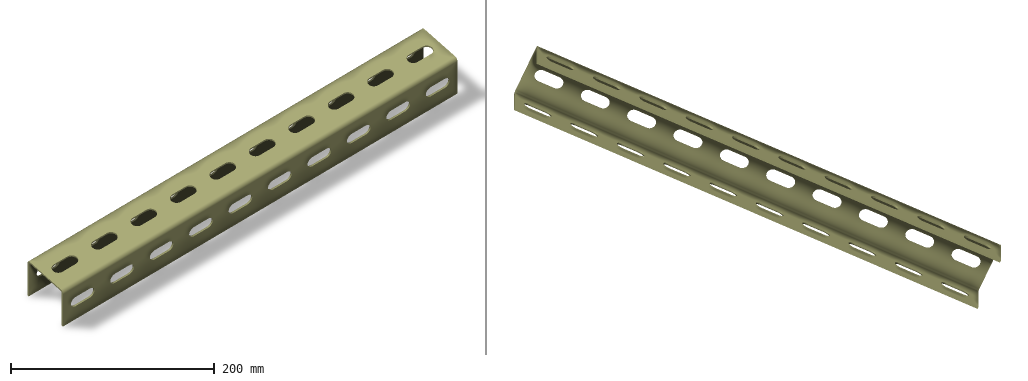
import cadquery as cq

length = 500.0
width = 55.0
height = 50.0
wall = 2.0
outer_bend_radius = 2 * wall
inner_bend_radius = outer_bend_radius - wall

slot_count = 10
slot_pitch = length / slot_count
slot_length = 30.0
slot_width = 13.0
side_slot_height = height / 2


def make_bar(bar_width, bar_height, bend_radius):
    """Full-length bar standing on Z = 0 with its two upper long edges rounded."""
    bar = cq.Workplane("XY").box(bar_width, length, bar_height, centered=(True, True, False))
    return bar.faces(">Z").edges("|Y").fillet(bend_radius)


def make_channel():
    """Bent sheet channel, open at the bottom and at both ends."""
    outside = make_bar(width, height, outer_bend_radius)
    inside = make_bar(width - 2 * wall, height - wall, inner_bend_radius)
    return outside.cut(inside)


def make_slot_row(plane, reach):
    """Row of slots along the local X axis of a plane, reaching equally to both sides of it."""
    return (
        plane.rarray(slot_pitch, slot_pitch, slot_count, 1)
        .slot2D(slot_length, slot_width)
        .extrude(reach, both=True)
    )


top_plane = cq.Workplane(cq.Plane(origin=(0, 0, height), xDir=(0, 1, 0), normal=(0, 0, 1)))
side_plane = cq.Workplane("YZ", origin=(0, 0, side_slot_height))

result = (
    make_channel()
    .cut(make_slot_row(top_plane, 2 * wall))
    .cut(make_slot_row(side_plane, width))
)